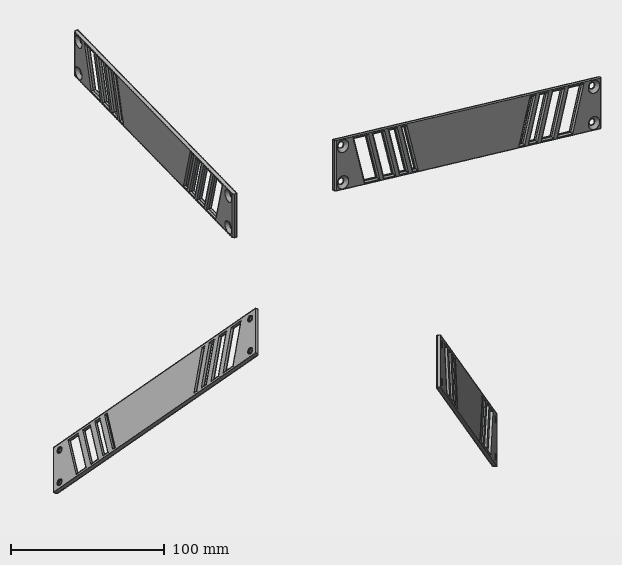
import cadquery as cq
import math

length = 209.8
thickness = 3.0
height = 35.0
end_chamfer = 1.0

hole_diameter = 4.5
countersink_diameter = 9.0
countersink_angle = 90.0
hole_x = 98.8
hole_z = 12.5

window_widths = [10.0, 7.5, 5.0, 2.5]
window_height = 31.0
window_bevel = 1.0
bar_width = 5.0
first_window_x = 85.4
lean_angle = 15.0
lean = math.tan(math.radians(lean_angle))


def make_plate():
    """Plate with the front vertical edge of each end chamfered."""
    plate = cq.Workplane("XY").box(length, thickness, height)
    plate = plate.translate((0, thickness / 2, 0))
    return plate.faces("<Y").edges("|Z").chamfer(end_chamfer)


def drill_corners(plate):
    """Screw holes countersunk from the front face."""
    corners = [(x, z) for x in (-hole_x, hole_x) for z in (-hole_z, hole_z)]
    front = plate.faces("<Y").workplane(origin=(0, 0, 0))
    return front.pushPoints(corners).cskHole(hole_diameter, countersink_diameter, countersink_angle)


def window_outline(outer_x, width, outline_height):
    """Corners of a leaning parallelogram; outer_x is its outer side at mid height."""
    inner_x = outer_x + width
    half_height = outline_height / 2
    shift = half_height * lean
    return [
        (outer_x + shift, -half_height),
        (inner_x + shift, -half_height),
        (inner_x - shift, half_height),
        (outer_x - shift, half_height),
    ]


def make_window(outer_x, width):
    """Cutter for a window leaning towards the middle at its foot, bevelled at the front."""
    bevel_slant = window_bevel * math.hypot(1, lean)
    front_width = width + 2 * bevel_slant
    front_height = window_height + 2 * window_bevel
    front_outline = window_outline(outer_x - bevel_slant, front_width, front_height)
    back_outline = window_outline(outer_x, width, window_height)
    opening = cq.Workplane("XZ").polyline(back_outline).close().extrude(-thickness)
    bevel = (
        cq.Workplane("XZ")
        .polyline(front_outline)
        .close()
        .workplane(offset=-window_bevel)
        .polyline(back_outline)
        .close()
        .loft(ruled=True)
    )
    return opening.union(bevel)


def cut_windows(plate):
    """Left row of windows and its mirror image on the right."""
    outer_x = -first_window_x
    for width in window_widths:
        window = make_window(outer_x, width)
        plate = plate.cut(window).cut(window.mirror("YZ"))
        outer_x += width + bar_width
    return plate


result = cut_windows(drill_corners(make_plate()))